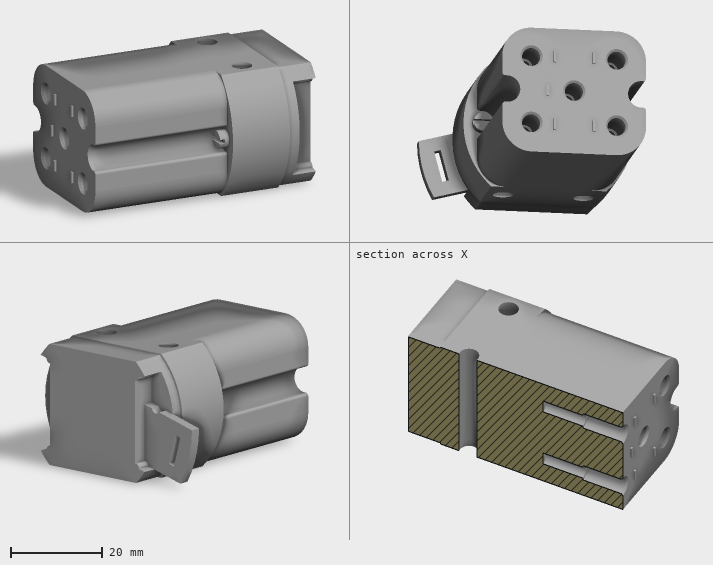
import cadquery as cq
import math


block_width = 32.0
block_height = 28.0
block_corner_radius = 6.55

cap_front_y = 31.95
rear_front_y = 45.8
recess_front_y = 48.3
rear_y = 53.85

cap_radius = 19.0
rear_radius = 18.5
rear_height = 27.35

contact_spacing_x = 19.0
contact_spacing_z = 15.0
contact_bore = 4.0
contact_depth = 10.0
pin_bore = 3.0
pin_depth = 20.0
contact_chamfer = 0.5

screw_x = 15.0
screw_diameter = 4.1
screw_length = 2.15
screw_slot_width = 1.05
screw_slot_depth = 1.2
groove_radius = 3.0
groove_edge_radius = 0.65

cross_hole_diameter = 4.5
cross_hole_spacing = 17.9
cross_hole_y = 38.8

recess_floor_x = 12.25
recess_mouth_x = 15.05
recess_mouth_z = 10.8
recess_lip_radius = 1.1
lever_angle = 15.0

lever_radius = 26.0
lever_root = 10.85
lever_width = 13.05
lever_thickness = 2.4
lever_slot_radius = 21.7
lever_slot_width = 1.5
lever_slot_length = 7.0
notch_position = 14.3
notch_radius = 1.2
notch_offset = 0.5

mark_height = 0.45
mark_size_x = 0.6
mark_size_z = 2.5
mark_offset_x = 4.4
mark_offset_z = 7.65
middle_mark_x = 5.9


def sketch_plane(y):
    """XZ sketch plane at the given Y; extrusions from it run toward +Y."""
    return cq.Workplane(cq.Plane(origin=(0, y, 0), xDir=(1, 0, 0), normal=(0, -1, 0)))


def extrude_back(sketch, length):
    return sketch.extrude(-length)


def four_corners(x, z):
    return [(-x, -z), (-x, z), (x, -z), (x, z)]


def flatted_disc(radius, height, y_start, y_end):
    length = y_end - y_start
    disc = extrude_back(sketch_plane(y_start).circle(radius), length)
    slab = extrude_back(sketch_plane(y_start).rect(2 * radius, height), length)
    return disc.intersect(slab)


def contact_block():
    block = extrude_back(sketch_plane(0).rect(block_width, block_height), cap_front_y)
    block = block.edges("|Y").fillet(block_corner_radius)
    grooves = extrude_back(
        sketch_plane(0).pushPoints([(-screw_x, 0), (screw_x, 0)]).circle(groove_radius), cap_front_y
    )
    mouth_width = block_width / 2 - screw_x
    mouth_x = screw_x + mouth_width / 2
    mouths = extrude_back(
        sketch_plane(0).pushPoints([(-mouth_x, 0), (mouth_x, 0)]).rect(mouth_width, 2 * groove_radius),
        cap_front_y,
    )
    block = block.cut(grooves).cut(mouths)
    box_half_height = (groove_radius + block_height / 2 - block_corner_radius) / 2
    around_mouths = cq.selectors.BoxSelector(
        (-block_width, 0, -box_half_height), (block_width, cap_front_y, box_half_height)
    )
    mouth_edges = block.faces("<X or >X").edges("|Y").edges(around_mouths)
    return mouth_edges.fillet(groove_edge_radius)


def contact_holes():
    places = [(0, 0)] + four_corners(contact_spacing_x / 2, contact_spacing_z / 2)
    mouth_radius = contact_bore / 2 + contact_chamfer
    profile = [
        (0, 0),
        (mouth_radius, 0),
        (contact_bore / 2, contact_chamfer),
        (contact_bore / 2, contact_depth),
        (pin_bore / 2, contact_depth),
        (pin_bore / 2, pin_depth),
        (0, pin_depth),
    ]
    hole = cq.Workplane("XY").polyline(profile).close().revolve(360, (0, 0, 0), (0, 1, 0))
    holes = cq.Workplane("XY")
    for x, z in places:
        holes = holes.add(hole.translate((x, 0, z)))
    return holes.combine()


def screws():
    front_y = cap_front_y - screw_length
    places = [(-screw_x, 0), (screw_x, 0)]
    heads = extrude_back(sketch_plane(front_y).pushPoints(places).circle(screw_diameter / 2), screw_length)
    slots = extrude_back(
        sketch_plane(front_y).pushPoints(places).rect(screw_diameter, screw_slot_width), screw_slot_depth
    )
    return heads.cut(slots)


def cross_holes():
    return (
        cq.Workplane("XY")
        .pushPoints([(-cross_hole_spacing / 2, cross_hole_y), (cross_hole_spacing / 2, cross_hole_y)])
        .circle(cross_hole_diameter / 2)
        .extrude(block_height / 2, both=True)
    )


def side_recess():
    """Recess on the -X side, open to the side and to the rear."""
    slope = math.tan(math.radians(lever_angle))
    lip_x = recess_floor_x + recess_lip_radius
    outer_x = cap_radius
    outer_z = recess_mouth_z + (outer_x - recess_mouth_x) * slope
    lip_z = recess_mouth_z - (recess_mouth_x - lip_x) * slope
    floor_z = lip_z - recess_lip_radius
    arc_step = recess_lip_radius * math.sqrt(0.5)
    arc_x = recess_floor_x + arc_step
    arc_z = lip_z - arc_step
    outline = (
        sketch_plane(recess_front_y)
        .moveTo(-outer_x, outer_z)
        .lineTo(-lip_x, lip_z)
        .threePointArc((-arc_x, arc_z), (-recess_floor_x, floor_z))
        .lineTo(-recess_floor_x, -floor_z)
        .threePointArc((-arc_x, -arc_z), (-lip_x, -lip_z))
        .lineTo(-outer_x, -outer_z)
        .close()
    )
    return extrude_back(outline, rear_y - recess_front_y)


def lever():
    """Arc-ended tab with a slot and a round notch in each long edge."""
    length = lever_radius - lever_root
    tab_middle = -(lever_radius + lever_root) / 2
    tab = extrude_back(
        sketch_plane(recess_front_y).center(tab_middle, 0).rect(length, lever_width), lever_thickness
    )
    disc = extrude_back(sketch_plane(recess_front_y).circle(lever_radius), lever_thickness)
    slot = extrude_back(
        sketch_plane(recess_front_y).center(-lever_slot_radius, 0).rect(lever_slot_width, lever_slot_length),
        lever_thickness,
    )
    notch_z = lever_width / 2 + notch_offset
    notches = extrude_back(
        sketch_plane(recess_front_y)
        .pushPoints([(-notch_position, -notch_z), (-notch_position, notch_z)])
        .circle(notch_radius),
        lever_thickness,
    )
    flat_lever = tab.intersect(disc).cut(slot).cut(notches)
    return flat_lever.rotate((0, 0, 0), (0, 1, 0), -lever_angle)


def marks():
    places = [(-middle_mark_x, 0)] + four_corners(mark_offset_x, mark_offset_z)
    bars = sketch_plane(-mark_height).pushPoints(places).rect(mark_size_x, mark_size_z)
    return extrude_back(bars, mark_height)


cap = flatted_disc(cap_radius, block_height, cap_front_y, rear_front_y).cut(cross_holes())
rear_end = flatted_disc(rear_radius, rear_height, rear_front_y, rear_y)
rear_end = rear_end.cut(side_recess()).cut(side_recess().mirror("YZ"))

result = contact_block().cut(contact_holes()).union(marks())
result = result.union(cap).union(screws()).union(rear_end).union(lever())